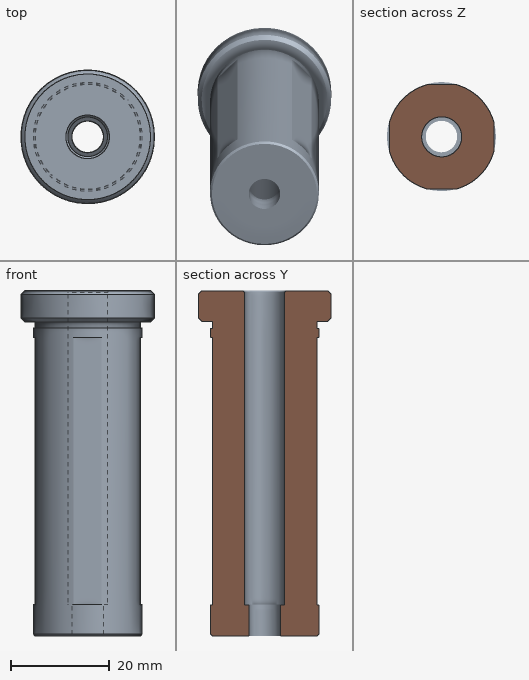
import cadquery as cq

total_length = 69.85
head_diameter = 27.0
head_height = 6.35
head_chamfer = 0.8

shank_diameter = 22.0
base_chamfer = 0.4

groove_width = 1.25
groove_depth = 0.35

flat_count = 4
flat_depth = 0.37
flat_bottom = 6.35
flat_top_to_head_face = 9.525

bore_diameter = 8.0
bore_chamfer = 0.4
through_diameter = 6.35
narrow_bore_length = 6.35

head_radius = head_diameter / 2
shank_radius = shank_diameter / 2
groove_radius = shank_radius - groove_depth
head_bottom = total_length - head_height
groove_bottom = head_bottom - groove_width
flat_top = total_length - flat_top_to_head_face


def make_body():
    """Revolve the outer profile: chamfered shank, relief groove and chamfered head."""
    profile = (
        cq.Workplane("XZ")
        .moveTo(0, 0)
        .lineTo(shank_radius - base_chamfer, 0)
        .lineTo(shank_radius, base_chamfer)
        .lineTo(shank_radius, groove_bottom)
        .lineTo(groove_radius, groove_bottom)
        .lineTo(groove_radius, head_bottom)
        .lineTo(head_radius - head_chamfer, head_bottom)
        .lineTo(head_radius, head_bottom + head_chamfer)
        .lineTo(head_radius, total_length - head_chamfer)
        .lineTo(head_radius - head_chamfer, total_length)
        .lineTo(0, total_length)
        .close()
    )
    return profile.revolve(360, (0, 0, 0), (0, 1, 0))


def make_bore():
    """Revolve the stepped bore, with a countersunk mouth in the head face."""
    bore_radius = bore_diameter / 2
    through_radius = through_diameter / 2
    profile = (
        cq.Workplane("XZ")
        .moveTo(0, 0)
        .lineTo(through_radius, 0)
        .lineTo(through_radius, narrow_bore_length)
        .lineTo(bore_radius, narrow_bore_length)
        .lineTo(bore_radius, total_length - bore_chamfer)
        .lineTo(bore_radius + bore_chamfer, total_length)
        .lineTo(0, total_length)
        .close()
    )
    return profile.revolve(360, (0, 0, 0), (0, 1, 0))


def make_flat_cutter(angle):
    """Block that shaves one flat off the shank, facing the given angle about Z."""
    block = cq.Workplane("XY").box(
        shank_radius, shank_diameter, flat_top - flat_bottom, centered=(False, True, False)
    )
    placed = block.translate((shank_radius - flat_depth, 0, flat_bottom))
    return placed.rotate((0, 0, 0), (0, 0, 1), angle)


result = make_body().cut(make_bore())
for index in range(flat_count):
    result = result.cut(make_flat_cutter(index * 360 / flat_count))